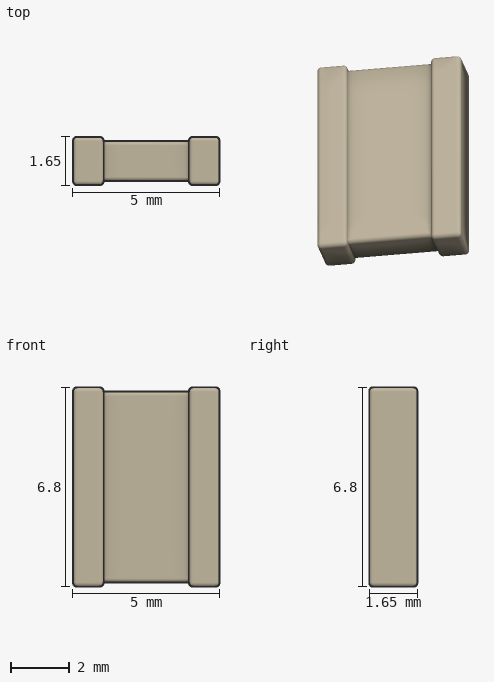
import cadquery as cq

length = 5.0
depth = 1.65
height = 6.8

terminal_width = 1.05
edge_radius = 0.14

core_inset = edge_radius
core_length = length - 2 * terminal_width
core_depth = depth - 2 * core_inset
core_height = height - 2 * core_inset

terminal_offset = (length - terminal_width) / 2


def make_core():
    """Ceramic block between the terminals, rounded along its four long edges."""
    block = cq.Workplane("XY").box(core_length, core_depth, core_height)
    return block.edges("|X").fillet(edge_radius)


def make_terminal(center_x):
    """End terminal, a block with every edge and corner rounded."""
    block = cq.Workplane("XY").box(terminal_width, depth, height)
    return block.edges().fillet(edge_radius).translate((center_x, 0, 0))


core = make_core()
terminals = [make_terminal(side * terminal_offset) for side in (-1, 1)]

result = cq.Compound.makeCompound([core.val(), *[terminal.val() for terminal in terminals]])